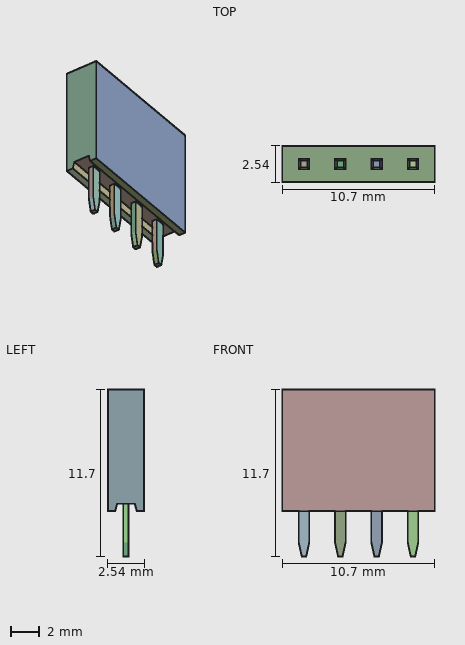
import cadquery as cq

pin_count = 4
pitch = 2.54
housing_length = 10.66
housing_width = pitch
total_height = 11.7
pin_projection = 3.19
housing_height = total_height - pin_projection

groove_depth = 0.5
groove_top_width = 1.23
groove_mouth_width = 1.49

pin_width = 0.76
pin_thickness = 0.39
tip_width = 0.32
tip_height = 1.01

socket_mouth = 0.75
socket_floor = 0.46
socket_depth = 1.08

pin_positions = [(i - (pin_count - 1) / 2) * pitch for i in range(pin_count)]


def make_housing():
    """Extrude the grooved cross-section along the row of contacts."""
    half_width = housing_width / 2
    half_mouth = groove_mouth_width / 2
    half_top = groove_top_width / 2
    return (
        cq.Workplane("YZ")
        .moveTo(-half_width, 0)
        .lineTo(-half_mouth, 0)
        .lineTo(-half_top, groove_depth)
        .lineTo(half_top, groove_depth)
        .lineTo(half_mouth, 0)
        .lineTo(half_width, 0)
        .lineTo(half_width, housing_height)
        .lineTo(-half_width, housing_height)
        .close()
        .extrude(housing_length / 2, both=True)
    )


def make_pin(x):
    """Flat pin hanging from the groove roof, tapered at its lower end."""
    shoulder_z = tip_height - pin_projection
    return (
        cq.Workplane("XZ")
        .moveTo(x - pin_width / 2, groove_depth)
        .lineTo(x + pin_width / 2, groove_depth)
        .lineTo(x + pin_width / 2, shoulder_z)
        .lineTo(x + tip_width / 2, -pin_projection)
        .lineTo(x - tip_width / 2, -pin_projection)
        .lineTo(x - pin_width / 2, shoulder_z)
        .close()
        .extrude(pin_thickness / 2, both=True)
    )


def make_socket(x):
    """Tapered square cavity sunk from the top face."""
    return (
        cq.Workplane("XY")
        .workplane(offset=housing_height)
        .center(x, 0)
        .rect(socket_mouth, socket_mouth)
        .workplane(offset=-socket_depth)
        .rect(socket_floor, socket_floor)
        .loft(ruled=True)
    )


result = make_housing()
for pin_x in pin_positions:
    result = result.union(make_pin(pin_x)).cut(make_socket(pin_x))